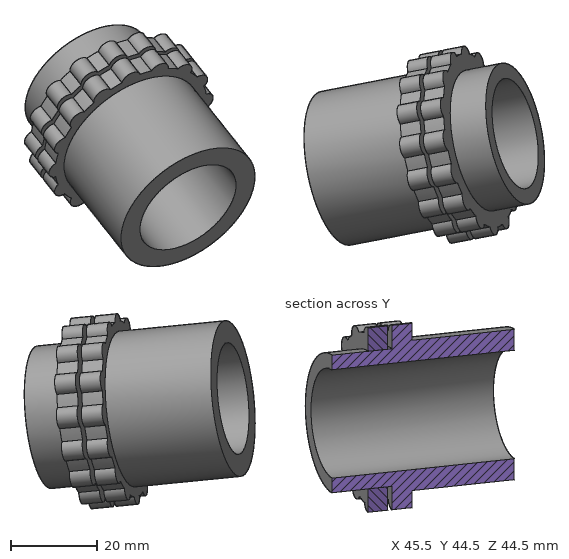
import cadquery as cq
import math

overall_length = 45.5
bore_diameter = 26.0
spigot_diameter = 33.25
sleeve_diameter = 36.3

ring_thickness = 5.0
spigot_length = 15.0
nut_gap = 1.0
nut_start = spigot_length - nut_gap - ring_thickness
sleeve_start = spigot_length + ring_thickness

lobe_count = 16
ring_tip_diameter = 44.45
ring_root_diameter = 41.0
lobe_radius = 2.55
lobe_center_radius = ring_tip_diameter / 2 - lobe_radius
nut_turn = -0.6


def cylinder(diameter, start, end):
    """Solid cylinder along X between two stations."""
    return cq.Workplane("YZ", origin=(start, 0, 0)).circle(diameter / 2).extrude(end - start)


def lobed_outline(start):
    """Closed outline of root arcs and round lobes, in the YZ plane at a station."""
    root_radius = ring_root_diameter / 2
    pitch = 2 * math.pi / lobe_count
    lobe_half_angle = math.acos(
        (root_radius**2 + lobe_center_radius**2 - lobe_radius**2)
        / (2 * root_radius * lobe_center_radius)
    )

    def polar(radius, angle):
        return (radius * math.cos(angle), radius * math.sin(angle))

    outline = cq.Workplane("YZ", origin=(start, 0, 0)).moveTo(*polar(root_radius, -lobe_half_angle))
    for index in range(lobe_count):
        middle = index * pitch
        lobe_end = middle + lobe_half_angle
        next_lobe_start = middle + pitch - lobe_half_angle
        outline = outline.threePointArc(
            polar(ring_tip_diameter / 2, middle), polar(root_radius, lobe_end)
        )
        outline = outline.threePointArc(
            polar(root_radius, middle + pitch / 2), polar(root_radius, next_lobe_start)
        )
    return outline.close()


def lobed_ring(start):
    """Solid lobed disc, one ring thickness long."""
    return lobed_outline(start).extrude(ring_thickness)


def make_bushing():
    """Spigot, lobed flange and sleeve in one piece with a through bore."""
    spigot = cylinder(spigot_diameter, 0, spigot_length)
    flange = lobed_ring(spigot_length)
    sleeve = cylinder(sleeve_diameter, sleeve_start, overall_length)
    bore = cylinder(bore_diameter, 0, overall_length)
    return spigot.union(flange).union(sleeve).cut(bore)


def make_locknut():
    """Lobed nut that fits closely around the spigot."""
    blank = lobed_ring(nut_start)
    spigot_hole = cylinder(spigot_diameter, nut_start, nut_start + ring_thickness)
    return blank.cut(spigot_hole).rotate((0, 0, 0), (1, 0, 0), nut_turn)


bushing = make_bushing()
locknut = make_locknut()
result = cq.Compound.makeCompound([bushing.val(), locknut.val()])